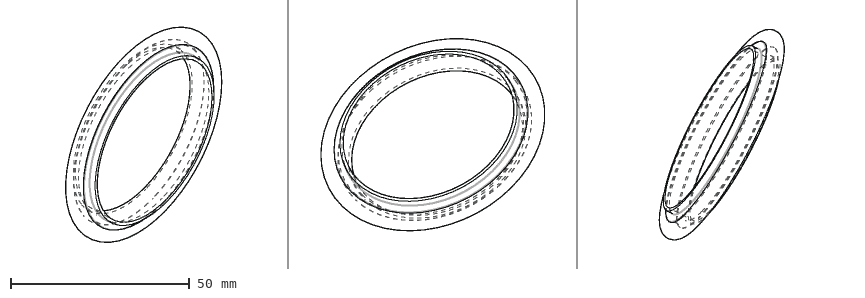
import cadquery as cq

outer_diameter = 65.5
cord_diameter = 5.0
bore_diameter = 50.0
sleeve_diameter = 52.0
sleeve_width = 8.0
web_diameter = 56.8
web_width = 3.9
edge_radius = 0.2

cord_center_radius = (outer_diameter - cord_diameter) / 2


def make_o_ring():
    """Round cord swept once around the X axis."""
    return (
        cq.Workplane("XY")
        .center(0, cord_center_radius)
        .circle(cord_diameter / 2)
        .revolve(360, (0, -cord_center_radius), (1, -cord_center_radius))
    )


def make_centering_ring(seated_ring):
    """Thin sleeve with a central web whose rim is hollowed to seat the O-ring."""
    bore_radius = bore_diameter / 2
    sleeve_radius = sleeve_diameter / 2
    web_radius = web_diameter / 2
    sleeve_end = sleeve_width / 2
    web_face = web_width / 2

    half_ring = (
        cq.Workplane("XY")
        .moveTo(0, bore_radius)
        .lineTo(sleeve_end, bore_radius)
        .lineTo(sleeve_end, sleeve_radius)
        .lineTo(web_face + edge_radius, sleeve_radius)
        .radiusArc((web_face, sleeve_radius + edge_radius), edge_radius)
        .lineTo(web_face, web_radius - edge_radius)
        .radiusArc((web_face - edge_radius, web_radius), -edge_radius)
        .lineTo(0, web_radius)
        .close()
        .revolve(360, (0, 0), (1, 0))
    )
    return half_ring.union(half_ring.mirror("YZ")).cut(seated_ring)


o_ring = make_o_ring()
centering_ring = make_centering_ring(o_ring)

result = cq.Compound.makeCompound([centering_ring.solids().val(), o_ring.val()])